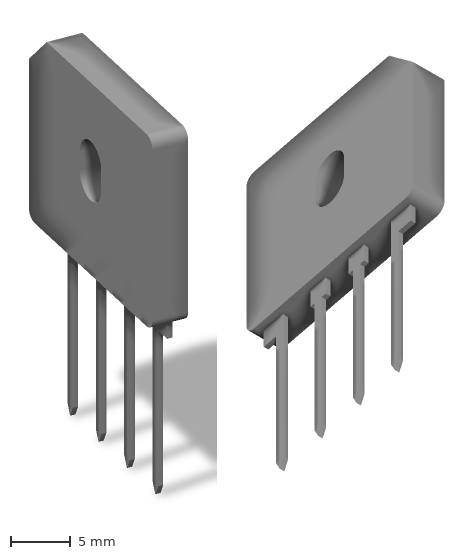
import cadquery as cq

body_width = 22.1
body_thickness = 3.4
body_height = 18.5
corner_chamfer = 3.2
corner_radius = 1.0

slot_width = 3.8
slot_height = 5.7
slot_centre_below_top = 8.5

overall_height = 36.4
lead_length = overall_height - body_height
lead_pitch = 5.08
lead_width = 0.95
lead_thickness = 0.5
lead_centre_from_back = 1.05
tip_length = 1.0

shoulder_length = 1.9
inner_shoulder_width = 2.05
outer_shoulder_width = 2.6
root_embed = 1.0

lead_y = body_thickness / 2 - lead_centre_from_back


def make_body():
    """Plate with one chamfered top corner and three rounded corners."""
    plate = cq.Workplane("XY").box(
        body_width, body_thickness, body_height, centered=(True, True, False)
    )
    plate = plate.edges("|Y and <X and >Z").chamfer(corner_chamfer)
    plate = plate.edges("|Y and >X").fillet(corner_radius)
    return plate.edges("|Y and <X and <Z").fillet(corner_radius)


def make_slot():
    """Upright round-ended cutter for the mounting slot."""
    return (
        cq.Workplane("XZ")
        .center(0, body_height - slot_centre_below_top)
        .slot2D(slot_height, slot_width, 90)
        .extrude(body_thickness, both=True)
    )


def make_lead(lead_x, shoulder_left, shoulder_right):
    """Pointed lead whose shoulder reaches the given X positions."""
    left = lead_x - lead_width / 2
    right = lead_x + lead_width / 2
    blade = (
        cq.Workplane("XZ", origin=(0, lead_y, 0))
        .moveTo(left, root_embed)
        .lineTo(right, root_embed)
        .lineTo(right, tip_length - lead_length)
        .lineTo(lead_x, -lead_length)
        .lineTo(left, tip_length - lead_length)
        .close()
        .extrude(lead_thickness / 2, both=True)
    )
    shoulder = cq.Workplane("XY").box(
        shoulder_right - shoulder_left,
        lead_thickness,
        shoulder_length + root_embed,
        centered=(False, True, False),
    )
    return blade.union(shoulder.translate((shoulder_left, lead_y, -shoulder_length)))


def make_lead_pair():
    """Left-hand outer and inner leads; the right-hand pair mirrors them."""
    outer_x = -1.5 * lead_pitch
    inner_x = -0.5 * lead_pitch
    outer_right = outer_x + lead_width / 2
    outer = make_lead(outer_x, outer_right - outer_shoulder_width, outer_right)
    half_shoulder = inner_shoulder_width / 2
    inner = make_lead(inner_x, inner_x - half_shoulder, inner_x + half_shoulder)
    return outer.union(inner)


lead_pair = make_lead_pair()
result = (
    make_body()
    .cut(make_slot())
    .union(lead_pair)
    .union(lead_pair.mirror("YZ"))
)